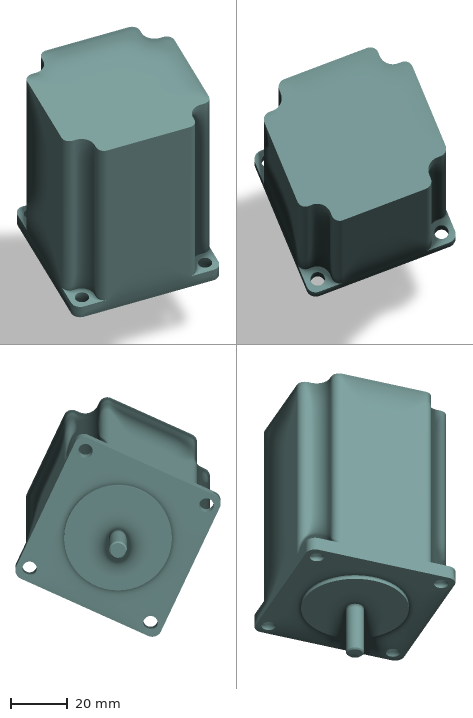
import cadquery as cq

side = 56.4
total_height = 97.6

flange_thickness = 5.0
flange_corner_radius = 3.4
hole_spacing = 47.1
hole_diameter = 5.1

pilot_diameter = 38.2
pilot_height = 1.6
shaft_diameter = 6.3
shaft_length = 19.0
shaft_chamfer = 0.5
flat_depth = 0.4
flat_length = 15.0

relief_width = 9.4
relief_inner_radius = 5.0
relief_outer_radius = 3.0
body_height = total_height - flange_thickness - pilot_height - shaft_length


def make_flange():
    """Square plate with rounded corners and four through holes."""
    plate = cq.Workplane("XY").rect(side, side).extrude(flange_thickness)
    plate = plate.edges("|Z").fillet(flange_corner_radius)
    holes = (
        cq.Workplane("XY")
        .rect(hole_spacing, hole_spacing, forConstruction=True)
        .vertices()
        .circle(hole_diameter / 2)
        .extrude(flange_thickness)
    )
    return plate.cut(holes)


def make_body():
    """Square column whose corner reliefs blend smoothly into the sides."""
    base = cq.Workplane("XY").workplane(offset=flange_thickness)
    narrow_width = side - 2 * relief_width
    column = base.rect(side, narrow_width).extrude(body_height)
    column = column.union(base.rect(narrow_width, side).extrude(body_height))

    middle = side / 2 - relief_width / 2
    inner_edges = cq.selectors.BoxSelector(
        (-middle, -middle, 0), (middle, middle, total_height)
    )
    column = column.edges("|Z").edges(inner_edges).fillet(relief_inner_radius)

    half_side = side / 2
    half_narrow = narrow_width / 2
    middle_height = flange_thickness + body_height / 2
    for x_sign in (-1, 1):
        for y_sign in (-1, 1):
            for x, y in ((half_side, half_narrow), (half_narrow, half_side)):
                corner = cq.selectors.NearestToPointSelector((x_sign * x, y_sign * y, middle_height))
                column = column.edges("|Z").edges(corner).fillet(relief_outer_radius)
    return column


def make_pilot():
    """Round locating boss under the flange."""
    return cq.Workplane("XY").circle(pilot_diameter / 2).extrude(-pilot_height)


def make_shaft():
    """Chamfered output shaft with a flat on its +Y side."""
    reach = pilot_height + shaft_length
    shaft = cq.Workplane("XY").circle(shaft_diameter / 2).extrude(-reach)
    shaft = shaft.faces("<Z").chamfer(shaft_chamfer)
    flat_cutter = (
        cq.Workplane("XY")
        .box(shaft_diameter, flat_depth, flat_length, centered=(True, False, False))
        .translate((0, shaft_diameter / 2 - flat_depth, -reach))
    )
    return shaft.cut(flat_cutter)


result = make_flange().union(make_body()).union(make_pilot()).union(make_shaft())